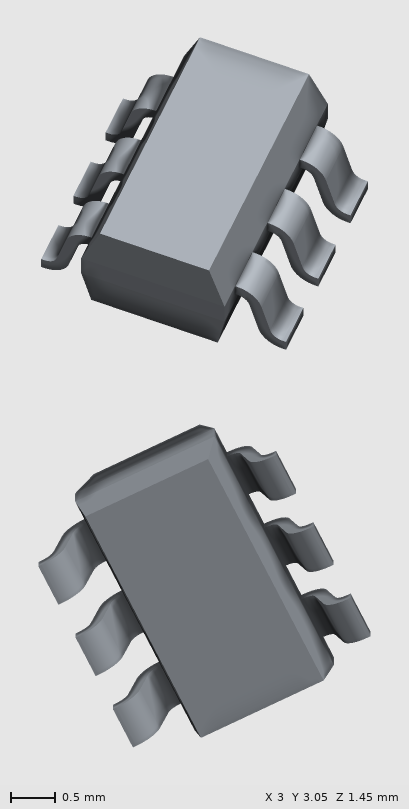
import cadquery as cq
import math

housing_length = 3.05
housing_width = 1.757
band_height = 0.29
taper_height = 0.53
standoff = 0.098
end_inset = 0.05
top_side_inset = 0.21
bottom_side_inset = 0.105

band_bottom = standoff + taper_height
band_top = band_bottom + band_height
housing_top = band_top + taper_height

lead_span = 3.0
lead_width = 0.512
lead_thickness = 0.152
lead_pitch = 0.952
leads_per_side = 3
shoulder_drop = 0.012
foot_length = 0.04
shoulder_length = 0.02
bend_angle = math.radians(75.0)

lead_top = band_top - shoulder_drop
lead_tip_x = lead_span / 2
lead_root_x = housing_width / 2

mark_diameter = 0.088
mark_depth = 0.015
mark_x = -0.467
mark_y = lead_pitch

lead_reach = lead_tip_x - lead_root_x - foot_length - shoulder_length
lead_rise = lead_top - lead_thickness
bend_radius = (lead_reach * math.sin(bend_angle) - lead_rise * math.cos(bend_angle)) / (
    2 * (1 - math.cos(bend_angle))
)
outer_radius = bend_radius + lead_thickness / 2
inner_radius = bend_radius - lead_thickness / 2


def tapered_block(start_z, height, start_size, end_size):
    """Block whose rectangular section changes evenly from start_size to end_size."""
    return (
        cq.Workplane("XY", origin=(0, 0, start_z))
        .rect(*start_size)
        .workplane(offset=height)
        .rect(*end_size)
        .loft(ruled=True)
    )


def mark_disc():
    return (
        cq.Workplane("XY", origin=(mark_x, mark_y, housing_top - mark_depth))
        .circle(mark_diameter / 2)
        .extrude(mark_depth)
    )


def make_housing():
    band_size = (housing_width, housing_length)
    end_length = housing_length - 2 * end_inset
    top_size = (housing_width - 2 * top_side_inset, end_length)
    bottom_size = (housing_width - 2 * bottom_side_inset, end_length)
    base = tapered_block(standoff, taper_height, bottom_size, band_size)
    band = tapered_block(band_bottom, band_height, band_size, band_size)
    cap = tapered_block(band_top, taper_height, band_size, top_size)
    return base.union(band).union(cap).cut(mark_disc())


def make_lead(side, y):
    """One lead centred on y; side is 1 for the +X side of the housing and -1 for the -X side."""
    shoulder_center = (lead_root_x + shoulder_length, lead_top - outer_radius)
    foot_center = (lead_tip_x - foot_length, outer_radius)

    def shoulder_point(radius, angle):
        x = shoulder_center[0] + radius * math.sin(angle)
        return side * x, shoulder_center[1] + radius * math.cos(angle)

    def foot_point(radius, angle):
        x = foot_center[0] - radius * math.sin(angle)
        return side * x, foot_center[1] - radius * math.cos(angle)

    half_bend = bend_angle / 2
    profile = (
        cq.Workplane("XZ", origin=(0, y + lead_width / 2, 0))
        .moveTo(side * lead_root_x, lead_top)
        .lineTo(*shoulder_point(outer_radius, 0))
        .threePointArc(shoulder_point(outer_radius, half_bend), shoulder_point(outer_radius, bend_angle))
        .lineTo(*foot_point(inner_radius, bend_angle))
        .threePointArc(foot_point(inner_radius, half_bend), foot_point(inner_radius, 0))
        .lineTo(side * lead_tip_x, lead_thickness)
        .lineTo(side * lead_tip_x, 0)
        .lineTo(*foot_point(outer_radius, 0))
        .threePointArc(foot_point(outer_radius, half_bend), foot_point(outer_radius, bend_angle))
        .lineTo(*shoulder_point(inner_radius, bend_angle))
        .threePointArc(shoulder_point(inner_radius, half_bend), shoulder_point(inner_radius, 0))
        .lineTo(side * lead_root_x, lead_top - lead_thickness)
        .close()
    )
    return profile.extrude(lead_width)


housing = make_housing()
pin_one_mark = mark_disc()
leads = []
for side in (-1, 1):
    for row in range(leads_per_side):
        row_y = (row - (leads_per_side - 1) / 2) * lead_pitch
        leads.append(make_lead(side, row_y).val())

result = cq.Compound.makeCompound([housing.val(), pin_one_mark.val(), *leads])